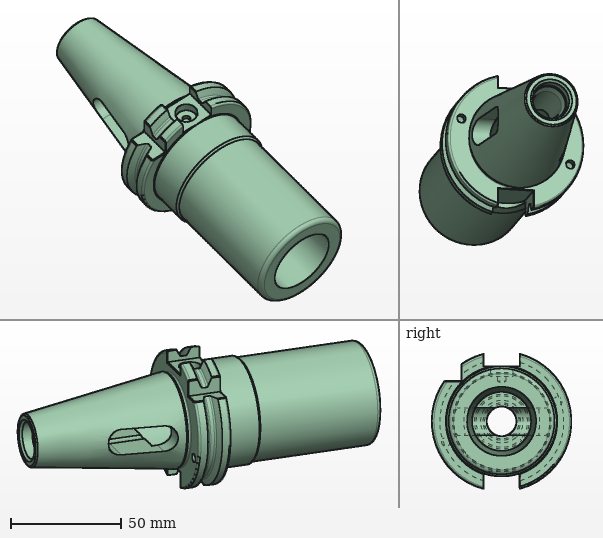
import cadquery as cq
import math

total_length = 163.4
tolerance = 0.0002

taper_slope = 7 / 48
gauge_radius = 22.4
gauge_x = 69.1
neck_radius = 21.7
neck_start_x = 70.1
tip_chamfer = 0.7

flange_radius = 31.7
flange_start_x = 71.4
flange_end_x = 87.3
flange_rim_fillet = 1.0
flange_root_fillet = 0.3
slot_edge_chamfer = 0.3
groove_x = 79.4
groove_width = 7.0
groove_floor_radius = 28.1
groove_wall_angle = 30.0
groove_fillet = 1.0

collar_radius = 25.0
collar_end_x = 104.4
collar_chamfer = 1.0
body_radius = 24.0
end_fillet = 2.1

slot_half_width = 8.2
upper_slot_floor_z = collar_radius
lower_slot_floor_z = -22.7
lower_slot_end_x = 94.6
notch_edge_y = -18.3
notch_floor_z = 18.3
pocket_radius = 5.0
pocket_depth = 4.5
pocket_hole_radius = 2.0
pocket_hole_depth = 2.0
drill_tip_angle = 118.0

face_hole_radius = 2.0
face_hole_pitch_radius = 27.0
face_hole_angle = 20.0
face_hole_depth = 3.3

mouth_radius = 9.6
mouth_chamfer = 1.1
guide_radius = 8.5
guide_end_x = 5.9
thread_radius = 7.8
thread_cone_end_x = 9.5
pilot_radius = 6.7

socket_mouth_radius = 15.7
socket_slope = 0.026
socket_floor_x = 56.4
tang_bore_end_x = 74.5
drift_slot_start_x = 33.2
drift_slot_end_x = 65.2
drift_slot_height = 12.5


def revolve_about_axis(points):
    """Solid of revolution about X from (x, radius) points."""
    return cq.Workplane("XZ").polyline(points).close().revolve(360, (0, 0, 0), (1, 0, 0))


class rings(cq.Selector):
    """Circular edges about X of one radius at the given X positions."""

    def __init__(self, positions, radius):
        self.positions = positions
        self.radius = radius

    def filter(self, edges):
        return [
            edge for edge in edges
            if edge.geomType() == "CIRCLE"
            and abs(edge.radius() - self.radius) < tolerance
            and any(abs(edge.startPoint().x - x) < tolerance for x in self.positions)
        ]


class straight_edges_at(cq.Selector):
    """Straight edges that lie in the plane of constant X."""

    def __init__(self, x):
        self.x = x

    def filter(self, edges):
        return [
            edge for edge in edges
            if edge.geomType() == "LINE"
            and abs(edge.startPoint().x - self.x) < tolerance
            and abs(edge.endPoint().x - self.x) < tolerance
        ]


def outer_body():
    tip_radius = gauge_radius - taper_slope * gauge_x
    groove_depth = flange_radius - groove_floor_radius
    groove_half_top = groove_width / 2
    groove_half_floor = groove_half_top - groove_depth * math.tan(math.radians(groove_wall_angle))
    blank = revolve_about_axis([
        (0, 0),
        (0, tip_radius - tip_chamfer),
        (tip_chamfer, tip_radius + taper_slope * tip_chamfer),
        (gauge_x, gauge_radius),
        (neck_start_x, neck_radius),
        (flange_start_x, neck_radius),
        (flange_start_x, flange_radius),
        (groove_x - groove_half_top, flange_radius),
        (groove_x - groove_half_floor, groove_floor_radius),
        (groove_x + groove_half_floor, groove_floor_radius),
        (groove_x + groove_half_top, flange_radius),
        (flange_end_x, flange_radius),
        (flange_end_x, collar_radius),
        (collar_end_x - collar_chamfer, collar_radius),
        (collar_end_x, body_radius),
        (total_length, body_radius),
        (total_length, 0),
    ])
    groove_xs = (groove_x - groove_half_floor, groove_x + groove_half_floor)
    return (
        blank.edges(rings((flange_start_x, flange_end_x), flange_radius))
        .fillet(flange_rim_fillet)
        .edges(rings(groove_xs, groove_floor_radius))
        .fillet(groove_fillet)
        .edges(rings((flange_end_x,), collar_radius))
        .fillet(flange_root_fillet)
        .edges(rings((flange_start_x,), neck_radius))
        .fillet(flange_root_fillet)
        .edges(rings((total_length,), body_radius))
        .fillet(end_fillet)
    )


def axial_bore():
    tang_bore_radius = socket_mouth_radius - socket_slope * (total_length - tang_bore_end_x)
    return revolve_about_axis([
        (0, 0),
        (0, mouth_radius),
        (mouth_chamfer, guide_radius),
        (guide_end_x, guide_radius),
        (guide_end_x, thread_radius),
        (thread_cone_end_x, pilot_radius),
        (socket_floor_x, pilot_radius),
        (socket_floor_x, tang_bore_radius),
        (tang_bore_end_x, tang_bore_radius),
        (total_length, socket_mouth_radius),
        (total_length, 0),
    ])


def drift_slot():
    length = drift_slot_end_x - drift_slot_start_x
    middle_x = (drift_slot_start_x + drift_slot_end_x) / 2
    return (
        cq.Workplane("XZ")
        .center(middle_x, 0)
        .slot2D(length, drift_slot_height)
        .extrude(flange_radius, both=True)
    )


def box_between(x_range, y_range, z_range):
    lengths = [high - low for low, high in (x_range, y_range, z_range)]
    corner = (x_range[0], y_range[0], z_range[0])
    return cq.Workplane("XY").box(*lengths, centered=False).translate(corner)


flange_x_range = (flange_start_x, flange_end_x)
slot_y_range = (-slot_half_width, slot_half_width)


def upper_slot():
    x_range = (flange_start_x, flange_end_x + flange_root_fillet)
    return box_between(x_range, slot_y_range, (upper_slot_floor_z, flange_radius))


def lower_slot():
    """Slot that runs past the flange into the collar and ends in a half circle."""
    round_centre_x = lower_slot_end_x - slot_half_width
    z_range = (-flange_radius, lower_slot_floor_z)
    straight = box_between((flange_start_x, round_centre_x), slot_y_range, z_range)
    round_end = (
        cq.Workplane("XY", origin=(round_centre_x, 0, -flange_radius))
        .circle(slot_half_width)
        .extrude(lower_slot_floor_z + flange_radius)
    )
    return straight.union(round_end)


def orientation_notch():
    return box_between(flange_x_range, (-flange_radius, notch_edge_y), (notch_floor_z, flange_radius))


def drilled_hole(mouth, direction, radius, depth):
    """Blind hole with a conical drill tip below its full-diameter depth."""
    tip_length = radius / math.tan(math.radians(drill_tip_angle / 2))
    mouth_point = cq.Vector(*mouth)
    axis = cq.Vector(*direction)
    barrel = cq.Solid.makeCylinder(radius, depth, mouth_point, axis)
    tip = cq.Solid.makeCone(radius, 0, tip_length, mouth_point + axis * depth, axis)
    return cq.Workplane(barrel.fuse(tip))


def chip_pocket():
    floor_z = upper_slot_floor_z - pocket_depth
    pocket = (
        cq.Workplane("XY", origin=(groove_x, 0, upper_slot_floor_z))
        .circle(pocket_radius)
        .extrude(-pocket_depth)
    )
    hole = drilled_hole((groove_x, 0, floor_z), (0, 0, -1), pocket_hole_radius, pocket_hole_depth)
    return pocket.union(hole)


def face_hole(angle):
    """Blind hole in the front face of the flange at an angle from +Y."""
    y = face_hole_pitch_radius * math.cos(math.radians(angle))
    z = face_hole_pitch_radius * math.sin(math.radians(angle))
    return drilled_hole((flange_start_x, y, z), (1, 0, 0), face_hole_radius, face_hole_depth)


holder = (
    outer_body()
    .cut(orientation_notch())
    .edges(straight_edges_at(flange_end_x))
    .chamfer(slot_edge_chamfer)
    .cut(upper_slot())
    .cut(lower_slot())
    .edges(straight_edges_at(flange_start_x))
    .chamfer(slot_edge_chamfer)
    .cut(axial_bore())
    .cut(drift_slot())
    .cut(chip_pocket())
)
for hole_angle in (face_hole_angle, face_hole_angle + 180):
    holder = holder.cut(face_hole(hole_angle))

result = holder